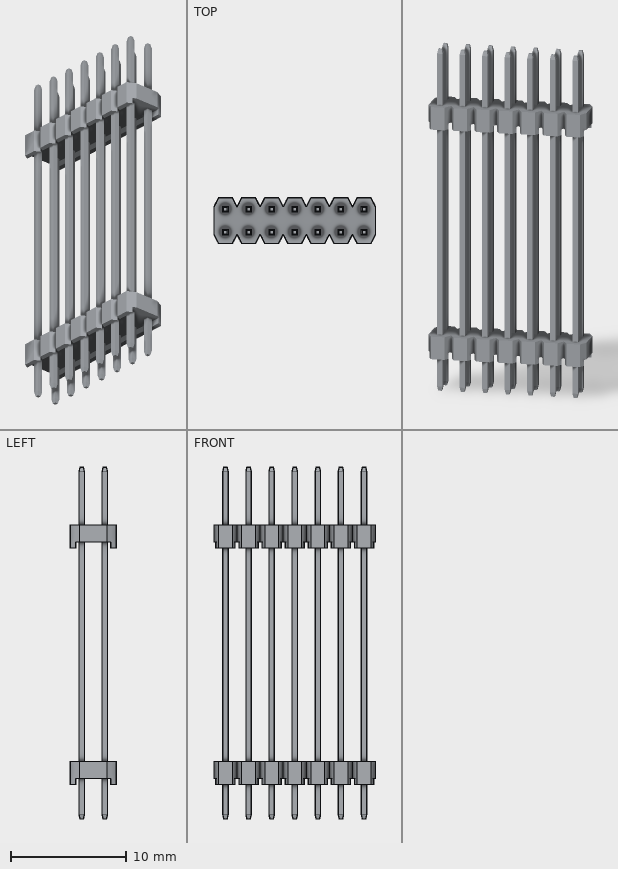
import cadquery as cq

PINS_PER_ROW = 7
ROWS = 2

HOUSING_LENGTH = 14.0
PITCH = HOUSING_LENGTH / PINS_PER_ROW
HOUSING_WIDTH = ROWS * PITCH
HOUSING_HEIGHT = 2.0
LOBE_FLAT = 1.2
NOTCH_DEPTH = 0.8
FOOT_WIDTH = 0.5
FOOT_HEIGHT = 0.52

PIN_LENGTH = 30.5
PIN_SIDE = 0.5
TIP_SIDE = 0.3
TIP_LENGTH = 0.4
TOP_PROJECTION = 5.0
BOTTOM_PROJECTION = 3.0


def housing_outline():
    """Corner points of the lobed outline, counter-clockwise, centred on the origin."""
    half_width = HOUSING_WIDTH / 2
    front_side = [(-HOUSING_LENGTH / 2, -half_width + NOTCH_DEPTH)]
    for index in range(PINS_PER_ROW):
        lobe_center = (index - (PINS_PER_ROW - 1) / 2) * PITCH
        front_side.append((lobe_center - LOBE_FLAT / 2, -half_width))
        front_side.append((lobe_center + LOBE_FLAT / 2, -half_width))
        front_side.append((lobe_center + PITCH / 2, -half_width + NOTCH_DEPTH))
    back_side = [(-x, -y) for x, y in front_side]
    return front_side + back_side


def make_housing(bottom_z):
    """Lobed block with a lengthwise channel that leaves feet along both long sides."""
    block = (
        cq.Workplane("XY")
        .workplane(offset=bottom_z)
        .polyline(housing_outline())
        .close()
        .extrude(HOUSING_HEIGHT)
    )
    channel = (
        cq.Workplane("XY")
        .workplane(offset=bottom_z)
        .rect(HOUSING_LENGTH, HOUSING_WIDTH - 2 * FOOT_WIDTH)
        .extrude(FOOT_HEIGHT)
    )
    return block.cut(channel)


def make_tip(base_plane):
    """Tapered square tip growing along the normal of the given plane."""
    return (
        cq.Workplane(base_plane)
        .rect(PIN_SIDE, PIN_SIDE)
        .workplane(offset=TIP_LENGTH)
        .rect(TIP_SIDE, TIP_SIDE)
        .loft(ruled=True)
    )


def make_pin():
    """Square pin standing on Z = 0 with a tapered tip at each end."""
    shaft_length = PIN_LENGTH - 2 * TIP_LENGTH
    shaft = cq.Workplane("XY").workplane(offset=TIP_LENGTH).rect(PIN_SIDE, PIN_SIDE).extrude(shaft_length)
    top_plane = cq.Plane(origin=(0, 0, PIN_LENGTH - TIP_LENGTH), normal=(0, 0, 1))
    bottom_plane = cq.Plane(origin=(0, 0, TIP_LENGTH), normal=(0, 0, -1))
    return shaft.union(make_tip(top_plane)).union(make_tip(bottom_plane))


upper_bottom_z = PIN_LENGTH - TOP_PROJECTION - HOUSING_HEIGHT
housings = make_housing(BOTTOM_PROJECTION).union(make_housing(upper_bottom_z))

pin = make_pin().val()
pins = (
    cq.Workplane("XY")
    .rarray(PITCH, PITCH, PINS_PER_ROW, ROWS)
    .eachpoint(lambda location: pin.moved(location))
)

result = pins.union(housings)